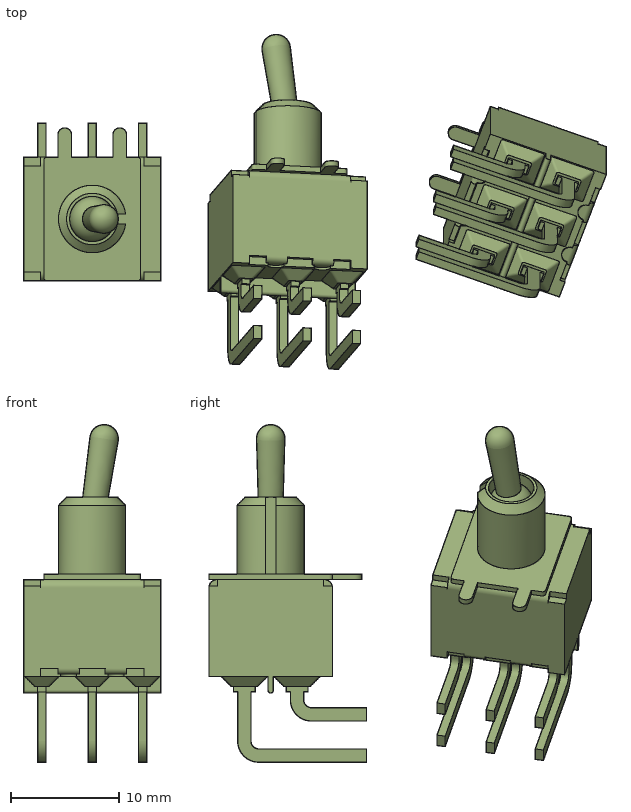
import cadquery as cq
import math


BODY_X = 12.7
BODY_Y = 11.45
BODY_Z = 8.97

SHEET = 0.5
FRAME_X = 9.55
FRAME_BEND = 0.75
CORNER_NOTCH_Y = 0.8
CORNER_NOTCH_Z = 0.6
FOOT_NOTCH_Z = 0.75

TAB_X = 2.0
TAB_PITCH = 4.38
TAB_CORNER_R = 0.25
TAB_RECESS = 0.22

PLATE_X = 8.97
PLATE_CORNER_R = 0.3
FINGER_X = 1.28
FINGER_PITCH = 5.1
FINGER_TIP_Y = 8.45

BUSHING_D = 6.25
BUSHING_Z = 7.13
BUSHING_CHAMFER = 0.75
BORE_D = 4.2
KEYWAY_WIDTH = 0.95

RIB_Z = 1.53

PIN_PITCH_X = 4.65
PIN_ROW_Y = 2.45
PIN_WIDTH = 0.78
PIN_THICKNESS = 1.25
PIN_BEND_R = 0.72
PIN_TIP_Y = 8.88
NEAR_PIN_BOTTOM = -4.13
FAR_PIN_BOTTOM = -7.95
MOUND_X = 3.15
MOUND_Y = 4.28
MOUND_Z = 0.95
MOUND_EDGE_R = 0.28
SHOULDER_Y = 2.03
SHOULDER_BOTTOM = -1.4

OVERALL_Z = 31.25
LEVER_TILT = 8.4
BALL_BELOW_RIM = 2.0
LEVER_TIP_D = 2.65
LEVER_NECK_D = 2.25

plate_top = BODY_Z + SHEET
rim_z = plate_top + BUSHING_Z
ball_z = rim_z - BALL_BELOW_RIM
lever_top = FAR_PIN_BOTTOM + OVERALL_Z


def box_between(x_range, y_range, z_range):
    """Axis-aligned box between pairs of limits."""
    (x0, x1), (y0, y1), (z0, z1) = x_range, y_range, z_range
    return cq.Workplane("XY").box(x1 - x0, y1 - y0, z1 - z0, centered=False).translate((x0, y0, z0))


def both_ends(shape):
    """The shape at the -Y end together with its mirror image at the +Y end."""
    return shape.union(shape.mirror("XZ"))


def make_body():
    """Block with rounded frame folds, stepped top corners and notched lower edges."""
    body = cq.Workplane("XY").box(BODY_X, BODY_Y, BODY_Z, centered=(True, True, False))
    body = body.edges(">Z and |X").fillet(FRAME_BEND)

    corner_x = (BODY_X - FRAME_X) / 2
    step_z = BODY_Z - CORNER_NOTCH_Z
    step_y = BODY_Y / 2 - CORNER_NOTCH_Y
    for x0 in (-BODY_X / 2, FRAME_X / 2):
        x_range = (x0, x0 + corner_x)
        square_end = box_between(x_range, (-BODY_Y / 2, BODY_Y / 2), (BODY_Z - FRAME_BEND, BODY_Z))
        step = box_between(x_range, (-BODY_Y / 2, -step_y), (step_z, BODY_Z))
        body = body.union(square_end).cut(both_ends(step))

    foot_notch = box_between(
        (-FRAME_X / 2, FRAME_X / 2), (-BODY_Y / 2, -BODY_Y / 2 + SHEET), (0, FOOT_NOTCH_Z)
    )
    return body.cut(both_ends(foot_notch))


def add_folded_tabs(body):
    """Tabs bent inward under the body with rounded tip corners, each over a round recess of the base."""
    front_y = -BODY_Y / 2
    base_y = front_y + SHEET
    recess_r = TAB_X / 2 - TAB_CORNER_R
    for x in (-TAB_PITCH / 2, TAB_PITCH / 2):
        recess = cq.Workplane("XY").center(x, base_y).circle(recess_r).extrude(TAB_RECESS)
        bend = (
            cq.Workplane("YZ", origin=(x - TAB_X / 2, 0, 0))
            .moveTo(front_y, FOOT_NOTCH_Z)
            .lineTo(front_y, TAB_RECESS + SHEET)
            .radiusArc((base_y, TAB_RECESS), -SHEET)
            .lineTo(base_y, FOOT_NOTCH_Z)
            .close()
            .extrude(TAB_X)
            .edges("|Z and >Y")
            .fillet(TAB_CORNER_R)
        )
        body = body.cut(both_ends(recess)).union(both_ends(bend))
    return body


def make_plate():
    """Cover plate with rounded corners and two round-ended fingers toward +Y."""
    plate = (
        cq.Workplane("XY", origin=(0, 0, BODY_Z))
        .rect(PLATE_X, BODY_Y)
        .extrude(SHEET)
        .edges("|Z")
        .fillet(PLATE_CORNER_R)
    )
    for x in (-FINGER_PITCH / 2, FINGER_PITCH / 2):
        finger = (
            cq.Workplane("XY", origin=(x, FINGER_TIP_Y / 2, BODY_Z))
            .slot2D(FINGER_TIP_Y, FINGER_X, 90)
            .extrude(SHEET)
        )
        plate = plate.union(finger)
    return plate


def make_bushing():
    """Chamfered cylinder with a keyway along its +X side."""
    bushing = (
        cq.Workplane("XY", origin=(0, 0, plate_top))
        .circle(BUSHING_D / 2)
        .extrude(BUSHING_Z)
        .faces(">Z")
        .edges()
        .chamfer(BUSHING_CHAMFER)
    )
    keyway = box_between(
        (BUSHING_D / 2 - BUSHING_CHAMFER, BUSHING_D / 2),
        (-KEYWAY_WIDTH / 2, KEYWAY_WIDTH / 2),
        (plate_top, rim_z),
    )
    return bushing.cut(keyway)


def make_socket():
    """Bore of the bushing, ending in a hemispherical seat for the lever ball."""
    bore = cq.Workplane("XY", origin=(0, 0, ball_z)).circle(BORE_D / 2).extrude(BALL_BELOW_RIM)
    seat = cq.Workplane("XY", origin=(0, 0, ball_z)).sphere(BORE_D / 2)
    return bore.union(seat)


def make_rib():
    """Divider rib with a fully rounded lower edge, from one side of the body to the other."""
    edge_r = SHEET / 2
    return (
        cq.Workplane("YZ", origin=(-BODY_X / 2, 0, 0))
        .moveTo(-edge_r, 0)
        .lineTo(-edge_r, edge_r - RIB_Z)
        .radiusArc((edge_r, edge_r - RIB_Z), -edge_r)
        .lineTo(edge_r, 0)
        .close()
        .extrude(BODY_X)
    )


def make_terminal(x, y, bottom):
    """Potting mound, shoulder and pin; the pin drops to the bottom height and bends toward +Y."""
    mound = (
        cq.Workplane("XY", origin=(x, y, 0))
        .rect(MOUND_X, MOUND_Y)
        .workplane(offset=-MOUND_Z)
        .rect(MOUND_X - 2 * MOUND_Z, MOUND_Y - 2 * MOUND_Z)
        .loft()
        .edges("not #Z")
        .fillet(MOUND_EDGE_R)
    )
    x_range = (x - PIN_WIDTH / 2, x + PIN_WIDTH / 2)
    shoulder = box_between(x_range, (y - SHOULDER_Y / 2, y + SHOULDER_Y / 2), (SHOULDER_BOTTOM, 0))

    outer_r = PIN_BEND_R + PIN_THICKNESS
    low_y = y - PIN_THICKNESS / 2
    high_y = y + PIN_THICKNESS / 2
    top = bottom + PIN_THICKNESS
    pin = (
        cq.Workplane("YZ", origin=(x_range[0], 0, 0))
        .moveTo(low_y, 0)
        .lineTo(low_y, bottom + outer_r)
        .radiusArc((low_y + outer_r, bottom), -outer_r)
        .lineTo(PIN_TIP_Y, bottom)
        .lineTo(PIN_TIP_Y, top)
        .lineTo(high_y + PIN_BEND_R, top)
        .radiusArc((high_y, top + PIN_BEND_R), PIN_BEND_R)
        .lineTo(high_y, 0)
        .close()
        .extrude(PIN_WIDTH)
    )
    return mound.union(shoulder).union(pin)


def make_housing():
    """Body, frame, plate, bushing and terminals as one solid."""
    housing = add_folded_tabs(make_body())
    housing = housing.union(make_plate()).union(make_bushing()).union(make_rib())
    for y, bottom in ((-PIN_ROW_Y, FAR_PIN_BOTTOM), (PIN_ROW_Y, NEAR_PIN_BOTTOM)):
        for x in (-PIN_PITCH_X, 0, PIN_PITCH_X):
            housing = housing.union(make_terminal(x, y, bottom))
    return housing.cut(make_socket())


def make_lever():
    """Ball, tapered handle and domed tip, tilted toward +X about the ball centre."""
    tip_r = LEVER_TIP_D / 2
    dome_distance = (lever_top - tip_r - ball_z) / math.cos(math.radians(LEVER_TILT))
    handle = (
        cq.Workplane("XZ")
        .lineTo(LEVER_NECK_D / 2, 0)
        .lineTo(tip_r, dome_distance)
        .radiusArc((0, dome_distance + tip_r), -tip_r)
        .close()
        .revolve(360, (0, 0, 0), (0, 1, 0))
    )
    ball = cq.Workplane("XY").sphere(BORE_D / 2)
    lever = ball.union(handle).rotate((0, 0, 0), (0, 1, 0), LEVER_TILT)
    return lever.translate((0, 0, ball_z))


housing = make_housing()
lever = make_lever()

result = cq.Compound.makeCompound([housing.val(), lever.val()])